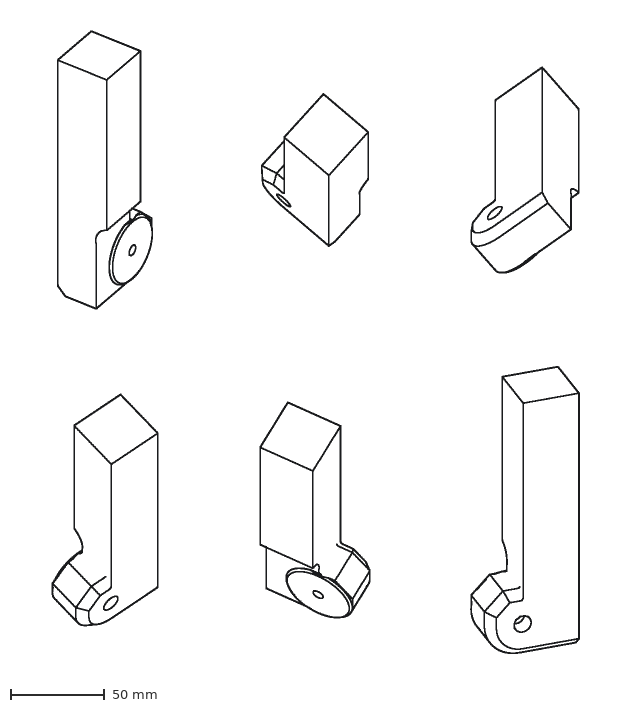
import cadquery as cq
import math

shank_side = 31.85
total_height = 154.0

head_radius = 20.0
axis_offset = 0.3
axis_y = shank_side + axis_offset
axis_z = head_radius
head_back = axis_y + head_radius
head_thickness = 25.0
head_top = 39.3
corner_cut = 10.6
edge_chamfer = 5.0
root_fillet = 1.4

relief_radius = 10.0
relief_undercut = 0.25
relief_z = 45.0

pad_height = 1.4
pad_bevel = 1.2

bore_diameter = 9.64
bore_depth = 10.0
through_diameter = 6.0
drill_point_angle = 120.0


def make_head():
    """Plate with a rounded lower back corner and a chamfered rim on its -X face."""
    arc_mid_y = axis_y + head_radius * math.cos(math.radians(45))
    arc_mid_z = axis_z - head_radius * math.sin(math.radians(45))
    plate = (
        cq.Workplane("YZ")
        .moveTo(0, 0)
        .lineTo(axis_y, 0)
        .threePointArc((arc_mid_y, arc_mid_z), (head_back, axis_z))
        .lineTo(head_back, head_top - corner_cut)
        .lineTo(head_back - corner_cut, head_top)
        .lineTo(0, head_top)
        .close()
        .extrude(head_thickness)
    )
    front_edge = cq.selectors.NearestToPointSelector((0, 0, head_top / 2))
    rim = cq.selectors.SubtractSelector(cq.selectors.StringSyntaxSelector("<X"), front_edge)
    return plate.edges(rim).chamfer(edge_chamfer)


def make_shank():
    """Square bar above the bottom chamfer, relieved down to the head face on +X."""
    bar_height = total_height - edge_chamfer
    bar = (
        cq.Workplane("XY", origin=(0, 0, edge_chamfer))
        .rect(shank_side, shank_side, centered=False)
        .extrude(bar_height)
    )
    step = (
        cq.Workplane("XY", origin=(head_thickness, 0, 0))
        .rect(shank_side - head_thickness, shank_side, centered=False)
        .extrude(relief_z)
    )
    relief_x = head_thickness - relief_undercut + relief_radius
    round_end = (
        cq.Workplane("XZ")
        .center(relief_x, relief_z)
        .circle(relief_radius)
        .extrude(-shank_side)
    )
    return bar.cut(step).cut(round_end)


def fillet_root(body):
    """Blend the top and the upper chamfer of the head into the back of the shank."""
    reach = 0.1
    root_edges = cq.selectors.BoxSelector(
        (-reach, shank_side - reach, head_top - edge_chamfer - reach),
        (head_thickness + reach, shank_side + reach, head_top + reach),
    )
    return body.edges(root_edges).fillet(root_fillet)


def make_pad():
    """Bevelled disc about the pivot axis, trimmed level with the top of the head."""
    disc = (
        cq.Workplane("YZ", origin=(head_thickness, axis_y, axis_z))
        .circle(head_radius)
        .extrude(pad_height)
        .faces(">X")
        .chamfer(pad_bevel)
    )
    trim = (
        cq.Workplane("XY", origin=(head_thickness, axis_y, head_top))
        .rect(2 * pad_height, 2 * head_radius)
        .extrude(head_radius)
    )
    return disc.cut(trim)


def make_hole():
    """Stepped plug: wide bore from -X, conical drill floor, then a small bore through the pad."""
    bore_radius = bore_diameter / 2
    through_radius = through_diameter / 2
    floor_slope = math.radians(drill_point_angle / 2)
    floor_end = bore_depth + (bore_radius - through_radius) / math.tan(floor_slope)
    plug_length = head_thickness + pad_height
    return (
        cq.Workplane("XY", origin=(0, axis_y, axis_z))
        .lineTo(0, bore_radius)
        .lineTo(bore_depth, bore_radius)
        .lineTo(floor_end, through_radius)
        .lineTo(plug_length, through_radius)
        .lineTo(plug_length, 0)
        .close()
        .revolve(360, (0, 0, 0), (1, 0, 0))
    )


body = make_shank().union(make_head())
body = fillet_root(body)
result = body.union(make_pad()).cut(make_hole())